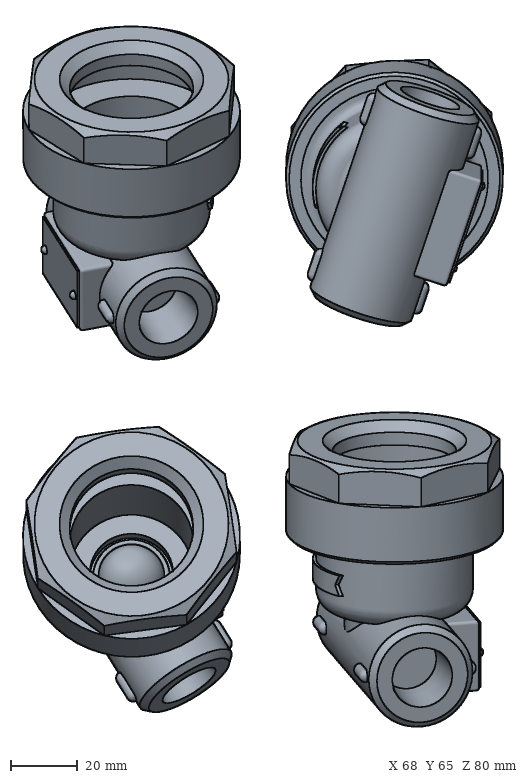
import cadquery as cq
import math

PIPE_LENGTH = 68.0
PIPE_DIAMETER = 32.0
PIPE_CHAMFER = 2.0
PIPE_AXIS_Z = PIPE_DIAMETER / 2

PORT_MOUTH_DIAMETER = 18.5
PORT_INNER_DIAMETER = 17.4
PORT_TAPER_LENGTH = 12.0
PORT_DEPTH = 17.6

NECK_DIAMETER = 47.0
NECK_BOTTOM_Z = 27.9
NECK_BOTTOM_FILLET = 6.0
STEM_DIAMETER = 30.0
STEM_FILLET = 2.2
CUP_BORE_DIAMETER = 37.0
CUP_FLOOR_Z = 34.0

COLLAR_DIAMETER = 56.0
COLLAR_BOTTOM_Z = 51.0
COLLAR_TOP_Z = 62.0
COLLAR_FILLET = 3.0

SEAT_POCKET_DIAMETER = 25.0
SEAT_POCKET_DEPTH = 4.0
SEAT_POCKET_FLOOR_Z = CUP_FLOOR_Z - SEAT_POCKET_DEPTH
SEAT_RIM_OUTER_DIAMETER = 23.0
DOME_DIAMETER = 20.0
SEAT_RIM_HEIGHT = 2.0
SEAT_RIM_ROUND = 1.0

PAD_WIDTH = 34.2
PAD_HEIGHT = 22.0
PAD_FRONT_Y = -22.0
PAD_FILLET = 1.0
PLATE_WIDTH = 31.7
PLATE_HEIGHT = 20.2
PLATE_THICKNESS = 0.6
RIVET_DIAMETER = 2.7
RIVET_SPACING = 26.4

RIB_DIAMETER = 4.0
RIB_LENGTH = 10.2
RIB_CENTRE_X = 25.0

ARROW_RAISE = 1.0
ARROW_HEIGHT = 6.4
ARROW_CENTRE_Z = 40.0
ARROW_LENGTH = 25.4
ARROW_POINT_LENGTH = 1.5

NUT_DIAMETER = 65.0
NUT_BOTTOM_Z = COLLAR_BOTTOM_Z
NUT_BOTTOM_CHAMFER = 1.0
NUT_TOP_Z = 80.0
FLATS_BOTTOM_Z = 69.0
FLATS_COUNT = 8
NUT_TOP_FACE_DIAMETER = 58.1
NUT_TOP_BEVEL_ANGLE = 30.0
NUT_LIP_BOTTOM_Z = 73.0
NUT_MOUTH_DIAMETER = CUP_BORE_DIAMETER
NUT_MOUTH_CHAMFER = 3.0


def upright_cylinder(diameter, bottom_z, top_z):
    """Cylinder on the Z axis between two heights."""
    return cq.Workplane("XY").workplane(offset=bottom_z).circle(diameter / 2).extrude(top_z - bottom_z)


def pipe():
    return (
        cq.Workplane("YZ")
        .center(0, PIPE_AXIS_Z)
        .circle(PIPE_DIAMETER / 2)
        .extrude(PIPE_LENGTH / 2, both=True)
        .edges()
        .chamfer(PIPE_CHAMFER)
    )


def cup():
    """Stem, neck and collar as one turned shape, filleted where they meet."""
    stem_radius = STEM_DIAMETER / 2
    neck_radius = NECK_DIAMETER / 2
    profile = (
        cq.Workplane("XZ")
        .moveTo(0, PIPE_AXIS_Z)
        .lineTo(stem_radius, PIPE_AXIS_Z)
        .lineTo(stem_radius, NECK_BOTTOM_Z - STEM_FILLET)
        .radiusArc((stem_radius + STEM_FILLET, NECK_BOTTOM_Z), STEM_FILLET)
        .lineTo(neck_radius - NECK_BOTTOM_FILLET, NECK_BOTTOM_Z)
        .radiusArc((neck_radius, NECK_BOTTOM_Z + NECK_BOTTOM_FILLET), -NECK_BOTTOM_FILLET)
        .lineTo(neck_radius, COLLAR_BOTTOM_Z - COLLAR_FILLET)
        .radiusArc((neck_radius + COLLAR_FILLET, COLLAR_BOTTOM_Z), COLLAR_FILLET)
        .lineTo(COLLAR_DIAMETER / 2, COLLAR_BOTTOM_Z)
        .lineTo(COLLAR_DIAMETER / 2, COLLAR_TOP_Z)
        .lineTo(0, COLLAR_TOP_Z)
        .close()
    )
    return profile.revolve(360, (0, 0, 0), (0, 1, 0))


def name_plate_pad():
    """Rounded pad with a thin plate and two round rivet heads on its front."""
    pad = (
        cq.Workplane("XY")
        .box(PAD_WIDTH, -PAD_FRONT_Y, PAD_HEIGHT)
        .translate((0, PAD_FRONT_Y / 2, PIPE_AXIS_Z))
        .edges("<Y or |Y")
        .fillet(PAD_FILLET)
    )
    plate_front_y = PAD_FRONT_Y - PLATE_THICKNESS
    plate = (
        cq.Workplane("XZ", origin=(0, PAD_FRONT_Y, PIPE_AXIS_Z))
        .rect(PLATE_WIDTH, PLATE_HEIGHT)
        .extrude(PLATE_THICKNESS)
    )
    rivets = (
        cq.Workplane("XZ", origin=(0, plate_front_y, PIPE_AXIS_Z))
        .rarray(RIVET_SPACING, 0.8, 2, 1)
        .sphere(RIVET_DIAMETER / 2)
    )
    return pad.union(plate).union(rivets)


def rib(centre_x, centre_y):
    """Bar along X with hemispherical ends, turned about its own axis."""
    radius = RIB_DIAMETER / 2
    half_length = RIB_LENGTH / 2
    half_bar = half_length - radius
    profile = (
        cq.Workplane("XY")
        .moveTo(-half_length, 0)
        .radiusArc((-half_bar, radius), radius)
        .lineTo(half_bar, radius)
        .radiusArc((half_length, 0), radius)
        .close()
    )
    return profile.revolve(360, (0, 0, 0), (1, 0, 0)).translate((centre_x, centre_y, PIPE_AXIS_Z))


def flow_arrow():
    """Notched arrow pointing to +X, raised evenly from the round back of the neck."""
    half_length = ARROW_LENGTH / 2
    half_height = ARROW_HEIGHT / 2
    half_point = ARROW_POINT_LENGTH / 2
    outline = [
        (-half_length - half_point, half_height),
        (half_length - half_point, half_height),
        (half_length + half_point, 0),
        (half_length - half_point, -half_height),
        (-half_length - half_point, -half_height),
        (-half_length + half_point, 0),
    ]
    arrow = (
        cq.Workplane("XZ", origin=(0, 0, ARROW_CENTRE_Z))
        .polyline(outline)
        .close()
        .extrude(-NECK_DIAMETER)
    )
    outer_limit = upright_cylinder(
        NECK_DIAMETER + 2 * ARROW_RAISE,
        ARROW_CENTRE_Z - ARROW_HEIGHT,
        ARROW_CENTRE_Z + ARROW_HEIGHT,
    )
    return arrow.intersect(outer_limit)


def port():
    """Blind port opening at the -X end of the pipe."""
    mouth_x = -PIPE_LENGTH / 2
    profile = (
        cq.Workplane("XY", origin=(0, 0, PIPE_AXIS_Z))
        .moveTo(mouth_x, 0)
        .lineTo(mouth_x, PORT_MOUTH_DIAMETER / 2)
        .lineTo(mouth_x + PORT_TAPER_LENGTH, PORT_INNER_DIAMETER / 2)
        .lineTo(mouth_x + PORT_DEPTH, PORT_INNER_DIAMETER / 2)
        .lineTo(mouth_x + PORT_DEPTH, 0)
        .close()
    )
    return profile.revolve(360, (0, 0, 0), (1, 0, 0))


def seat():
    """Dome and, running into its foot, a raised rim with a fully rounded top."""
    dome_radius = DOME_DIAMETER / 2
    rim_radius = SEAT_RIM_OUTER_DIAMETER / 2
    rim_top_z = SEAT_POCKET_FLOOR_Z + SEAT_RIM_HEIGHT
    shoulder_z = rim_top_z - SEAT_RIM_ROUND
    rim = (
        cq.Workplane("XZ")
        .moveTo(0, SEAT_POCKET_FLOOR_Z)
        .lineTo(rim_radius, SEAT_POCKET_FLOOR_Z)
        .lineTo(rim_radius, shoulder_z)
        .threePointArc(
            (rim_radius - SEAT_RIM_ROUND, rim_top_z),
            (rim_radius - 2 * SEAT_RIM_ROUND, shoulder_z),
        )
        .lineTo(0, shoulder_z)
        .close()
        .revolve(360, (0, 0, 0), (0, 1, 0))
    )
    dome = (
        cq.Workplane("XZ")
        .moveTo(0, SEAT_POCKET_FLOOR_Z)
        .lineTo(dome_radius, SEAT_POCKET_FLOOR_Z)
        .radiusArc((0, SEAT_POCKET_FLOOR_Z + dome_radius), -dome_radius)
        .close()
        .revolve(360, (0, 0, 0), (0, 1, 0))
    )
    return rim.union(dome)


def valve_body():
    body = pipe().union(cup()).union(name_plate_pad()).union(flow_arrow())
    for side_x in (-RIB_CENTRE_X, RIB_CENTRE_X):
        for side_y in (-PIPE_DIAMETER / 2, PIPE_DIAMETER / 2):
            body = body.union(rib(side_x, side_y))

    body = body.cut(port()).cut(port().mirror("YZ"))
    body = body.cut(upright_cylinder(CUP_BORE_DIAMETER, CUP_FLOOR_Z, COLLAR_TOP_Z))
    body = body.cut(upright_cylinder(SEAT_POCKET_DIAMETER, SEAT_POCKET_FLOOR_Z, CUP_FLOOR_Z))
    return body.union(seat())


def union_nut():
    ring = (
        upright_cylinder(NUT_DIAMETER, NUT_BOTTOM_Z, FLATS_BOTTOM_Z)
        .faces("<Z")
        .edges()
        .chamfer(NUT_BOTTOM_CHAMFER)
    )
    flats = (
        cq.Workplane("XY")
        .workplane(offset=FLATS_BOTTOM_Z)
        .polygon(FLATS_COUNT, NUT_DIAMETER)
        .extrude(NUT_TOP_Z - FLATS_BOTTOM_Z)
    )
    bevel_width = (NUT_DIAMETER - NUT_TOP_FACE_DIAMETER) / 2
    bevel_height = bevel_width * math.tan(math.radians(NUT_TOP_BEVEL_ANGLE))
    bevelled_blank = (
        upright_cylinder(NUT_DIAMETER, FLATS_BOTTOM_Z, NUT_TOP_Z)
        .faces(">Z")
        .edges()
        .chamfer(bevel_height, bevel_width)
    )
    nut = ring.union(flats.intersect(bevelled_blank))

    nut = nut.cut(upright_cylinder(COLLAR_DIAMETER, NUT_BOTTOM_Z, NUT_LIP_BOTTOM_Z))
    nut = nut.cut(upright_cylinder(NUT_MOUTH_DIAMETER, NUT_LIP_BOTTOM_Z, NUT_TOP_Z))
    smallest_circle = cq.selectors.RadiusNthSelector(0)
    return nut.faces(">Z").edges(smallest_circle).chamfer(NUT_MOUTH_CHAMFER)


body = valve_body()
nut = union_nut()

result = cq.Compound.makeCompound([body.val(), nut.val()])